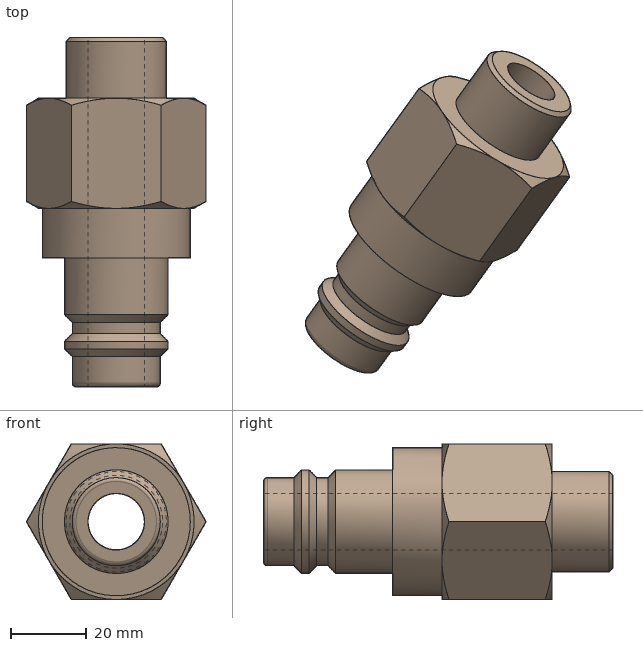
import cadquery as cq
import math


nose_length = 8.0
ramp_length = 2.0
rib_width = 2.0
groove_width = 3.0
shank_length = 15.0
collar_length = 13.0
hex_length = 29.0
spigot_length = 16.0

nose_diameter = 23.2
plug_diameter = 27.3
collar_diameter = 39.0
spigot_diameter = 26.44
bore_diameter = 14.8

hex_sides = 6
hex_across_flats = 41.0
hex_corner_diameter = hex_across_flats / math.cos(math.pi / hex_sides)
hex_chamfer_angle = math.radians(30)

nose_fillet = 1.0
spigot_chamfer = 1.0

rib_start = nose_length + ramp_length
rib_end = rib_start + rib_width
groove_start = rib_end + ramp_length
groove_end = groove_start + groove_width
shank_start = groove_end + ramp_length
collar_start = shank_start + shank_length
hex_start = collar_start + collar_length
hex_end = hex_start + hex_length
total_length = hex_end + spigot_length


def revolve_about_y(points):
    """Revolve a closed outline of (radius, y) points about the Y axis."""
    outline = cq.Workplane("XY").polyline(points).close()
    return outline.revolve(360, (0, 0, 0), (0, 1, 0))


def turned_body():
    """Plug nose, locking rib and groove, shank, collar and rear spigot."""
    nose = nose_diameter / 2
    plug = plug_diameter / 2
    collar = collar_diameter / 2
    spigot = spigot_diameter / 2
    body = revolve_about_y([
        (0, 0),
        (nose, 0),
        (nose, nose_length),
        (plug, rib_start),
        (plug, rib_end),
        (nose, groove_start),
        (nose, groove_end),
        (plug, shank_start),
        (plug, collar_start),
        (collar, collar_start),
        (collar, hex_start),
        (spigot, hex_start),
        (spigot, total_length - spigot_chamfer),
        (spigot - spigot_chamfer, total_length),
        (0, total_length),
    ])
    return body.faces("<Y").edges().fillet(nose_fillet)


def hexagon():
    """Hexagon with two corners in the XY plane and a chamfer cone at each end."""
    prism = (
        cq.Workplane("XZ", origin=(0, hex_start, 0))
        .polygon(hex_sides, hex_corner_diameter)
        .extrude(-hex_length)
    )
    face_radius = hex_across_flats / 2
    corner_radius = hex_corner_diameter / 2
    chamfer_depth = (corner_radius - face_radius) * math.tan(hex_chamfer_angle)
    envelope = revolve_about_y([
        (0, hex_start),
        (face_radius, hex_start),
        (corner_radius, hex_start + chamfer_depth),
        (corner_radius, hex_end - chamfer_depth),
        (face_radius, hex_end),
        (0, hex_end),
    ])
    return prism.intersect(envelope)


def through_bore():
    """Straight bore along the whole length."""
    return cq.Workplane("XZ").circle(bore_diameter / 2).extrude(-total_length)


result = turned_body().union(hexagon()).cut(through_bore())